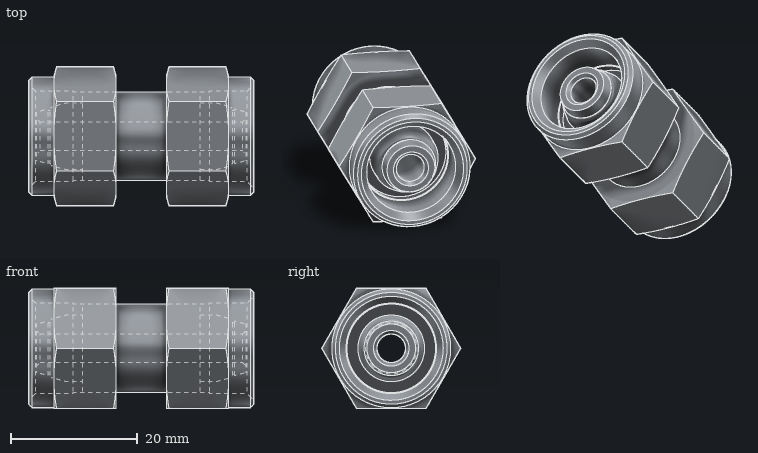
import cadquery as cq
import math


total_length = 35.5
half_length = total_length / 2
left_end = -half_length

hex_across_flats = 19.0
hex_flat_radius = hex_across_flats / 2
hex_corner_radius = hex_flat_radius / math.cos(math.radians(30))
hex_corner_chamfer = 0.43
collar_radius = 9.37
collar_length = 3.98
collar_chamfer = 0.57
nut_length = 13.8
mouth_chamfer = 1.05
bore_radius = 7.15
bore_depth = 7.03

shaft_radius = 7.0
shaft_end_depth = 8.52
tip_depth = 1.25
tip_radius = 3.85
tip_barb_radius = 4.3
tip_barb_length = 1.78
groove_radius = 4.05
groove_length = 0.35
barb_round = 0.7
rear_barb_radius = 5.25
barb_slope = math.atan((tip_barb_radius - tip_radius) / tip_barb_length)
passage_radius = 2.25
passage_chamfer = 0.57


def revolve_about_x(profile):
    """Turn a closed profile, drawn as (X, radius), about the X axis."""
    return profile.close().revolve(360, (0, 0, 0), (1, 0, 0))


def cylinder_along_x(start, length, radius):
    return cq.Workplane("YZ", origin=(start, 0, 0)).circle(radius).extrude(length)


def make_hexagon():
    """Hexagon with corners on +Y and -Y, bevelled at both ends."""
    hex_start = left_end + collar_length
    hex_end = left_end + nut_length
    prism = (
        cq.Workplane("YZ", origin=(hex_start, 0, 0))
        .polygon(6, 2 * hex_corner_radius)
        .extrude(hex_end - hex_start)
    )
    bevel_envelope = revolve_about_x(
        cq.Workplane("XY")
        .moveTo(hex_start, 0)
        .lineTo(hex_start, hex_flat_radius)
        .lineTo(hex_start + hex_corner_chamfer, hex_corner_radius)
        .lineTo(hex_end - hex_corner_chamfer, hex_corner_radius)
        .lineTo(hex_end, hex_flat_radius)
        .lineTo(hex_end, 0)
    )
    return prism.intersect(bevel_envelope)


def make_collar():
    collar = cylinder_along_x(left_end, collar_length, collar_radius)
    return collar.faces("<X").chamfer(collar_chamfer)


def make_nut_cavity():
    """Bevelled mouth and bore, stepping down to the hole for the shaft."""
    return revolve_about_x(
        cq.Workplane("XY")
        .moveTo(left_end, 0)
        .lineTo(left_end, bore_radius + mouth_chamfer)
        .lineTo(left_end + mouth_chamfer, bore_radius)
        .lineTo(left_end + bore_depth, bore_radius)
        .lineTo(left_end + bore_depth, shaft_radius)
        .lineTo(left_end + nut_length, shaft_radius)
        .lineTo(left_end + nut_length, 0)
    )


def make_left_nut():
    return make_hexagon().union(make_collar()).cut(make_nut_cavity())


def make_left_nozzle():
    """Bored nozzle: a conical tip barb, a groove and a round-nosed rear barb."""
    tip = left_end + tip_depth
    groove_start = tip + tip_barb_length
    groove_end = groove_start + groove_length
    round_center = groove_end + barb_round

    def point_on_round(angle):
        return (
            round_center - barb_round * math.sin(angle),
            groove_radius + barb_round * math.cos(angle),
        )

    nose_middle = point_on_round((math.pi / 2 + barb_slope) / 2)
    cone_start = point_on_round(barb_slope)
    cone_length = (rear_barb_radius - cone_start[1]) / math.tan(barb_slope)
    shaft_shoulder = left_end + shaft_end_depth
    return revolve_about_x(
        cq.Workplane("XY")
        .moveTo(tip, passage_radius)
        .lineTo(tip, tip_radius)
        .lineTo(groove_start, tip_barb_radius)
        .lineTo(groove_start, groove_radius)
        .lineTo(groove_end, groove_radius)
        .threePointArc(nose_middle, cone_start)
        .lineTo(cone_start[0] + cone_length, rear_barb_radius)
        .lineTo(shaft_shoulder, rear_barb_radius)
        .lineTo(shaft_shoulder, passage_radius)
    )


def make_stem():
    nozzle = make_left_nozzle()
    shaft_start = left_end + shaft_end_depth
    shaft = cylinder_along_x(shaft_start, -2 * shaft_start, shaft_radius)
    passage = cylinder_along_x(left_end, total_length, passage_radius)
    stem = shaft.cut(passage).union(nozzle).union(nozzle.mirror("YZ"))
    passage_rims = stem.faces("<X or >X").edges(cq.selectors.RadiusNthSelector(0))
    return passage_rims.chamfer(passage_chamfer)


stem = make_stem()

left_nut = make_left_nut()
nuts = []
for nut in (left_nut, left_nut.mirror("YZ")):
    nuts.append(nut.val())

result = cq.Compound.makeCompound([stem.val(), *nuts])